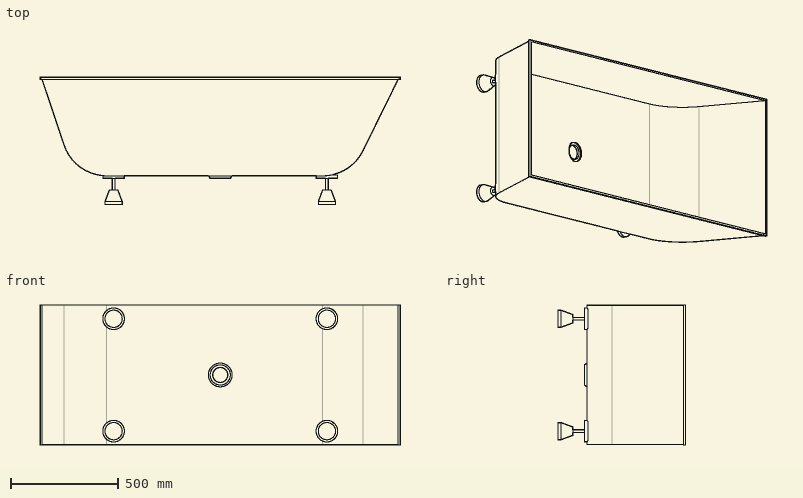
import cadquery as cq

LENGTH = 1682.0
HEIGHT = 655.0
TUB_DEPTH = 460.0
RIM_THICKNESS = 10.0
RIM_OVERHANG_ENDS = 5.0
RIM_OVERHANG_SIDES = 2.0
LEFT_FLOOR_CORNER = -681.0
RIGHT_FLOOR_CORNER = 609.0
CORNER_RADIUS = 210.0
WALL = 7.0

DRAIN_HOLE_DIAMETER = 69.0
TUB_HOLE_DIAMETER = 90.0
DRAIN_BASE_DIAMETER = 111.0
DRAIN_END_DIAMETER = 95.0
DRAIN_HEIGHT = 12.0

TOTAL_DEPTH = 595.0
FOOT_X = 498.0
FOOT_Z = 262.0
PLATE_DIAMETER = 101.0
PLATE_HEIGHT = 12.0
PLATE_SINK = 5.0
STEM_DIAMETER = 13.0
PAD_HEIGHT = 69.0
PAD_TOP_DIAMETER = 40.0
PAD_DIAMETER = 80.0
PAD_EDGE = 15.0

FLOOR_Y = -TUB_DEPTH
FOOT_END_Y = -TOTAL_DEPTH


def trough(left_floor, right_floor, half_rim, floor_y, radius, height):
    """Upright prism with sloping ends and two rounded floor corners."""
    return (
        cq.Workplane("XY")
        .workplane(offset=-height / 2)
        .moveTo(-half_rim, 0)
        .lineTo(left_floor, floor_y)
        .lineTo(right_floor, floor_y)
        .lineTo(half_rim, 0)
        .close()
        .extrude(height)
        .edges("|Z and <Y")
        .fillet(radius)
    )


def turned(profile):
    """Revolve (radius, y) points about the Y axis."""
    return cq.Workplane("XY").polyline(profile).close().revolve(360, (0, 0, 0), (0, 1, 0))


def make_foot():
    """Mounting plate, thin stem and conical pad, on the Y axis."""
    plate_root = FLOOR_Y + PLATE_SINK
    plate_end = FLOOR_Y - PLATE_HEIGHT
    pad_top = FOOT_END_Y + PAD_HEIGHT
    pad_edge_y = FOOT_END_Y + PAD_EDGE
    return turned([
        (0, plate_root),
        (PLATE_DIAMETER / 2, plate_root),
        (PLATE_DIAMETER / 2, plate_end),
        (STEM_DIAMETER / 2, plate_end),
        (STEM_DIAMETER / 2, pad_top),
        (PAD_TOP_DIAMETER / 2, pad_top),
        (PAD_DIAMETER / 2, pad_edge_y),
        (PAD_DIAMETER / 2, FOOT_END_Y),
        (0, FOOT_END_Y),
    ])


def make_tub():
    """Hollow tub with a slightly overhanging rim, a drain hole and four feet."""
    half_body = LENGTH / 2 - RIM_OVERHANG_ENDS
    body_height = HEIGHT - 2 * RIM_OVERHANG_SIDES
    body = trough(
        LEFT_FLOOR_CORNER, RIGHT_FLOOR_CORNER, half_body, FLOOR_Y, CORNER_RADIUS, body_height
    )
    rim = cq.Workplane("XY").box(LENGTH, RIM_THICKNESS, HEIGHT).translate((0, -RIM_THICKNESS / 2, 0))
    cavity = trough(
        LEFT_FLOOR_CORNER + WALL,
        RIGHT_FLOOR_CORNER - WALL,
        half_body - WALL,
        FLOOR_Y + WALL,
        CORNER_RADIUS - WALL,
        body_height - 2 * WALL,
    )
    drain_hole = (
        cq.Workplane("XZ", origin=(0, FLOOR_Y + WALL, 0))
        .circle(TUB_HOLE_DIAMETER / 2)
        .extrude(WALL)
    )
    tub = body.union(rim).cut(cavity).cut(drain_hole)
    foot = make_foot()
    for x in (-FOOT_X, FOOT_X):
        for z in (-FOOT_Z, FOOT_Z):
            tub = tub.union(foot.translate((x, 0, z)))
    return tub


def make_drain_ring():
    """Tapered ring seated on the outside of the floor around the drain hole."""
    ring_end = FLOOR_Y - DRAIN_HEIGHT
    return turned([
        (DRAIN_HOLE_DIAMETER / 2, FLOOR_Y),
        (DRAIN_BASE_DIAMETER / 2, FLOOR_Y),
        (DRAIN_END_DIAMETER / 2, ring_end),
        (DRAIN_HOLE_DIAMETER / 2, ring_end),
    ])


tub = make_tub()
drain_ring = make_drain_ring()
result = cq.Compound.makeCompound([tub.val(), drain_ring.val()])